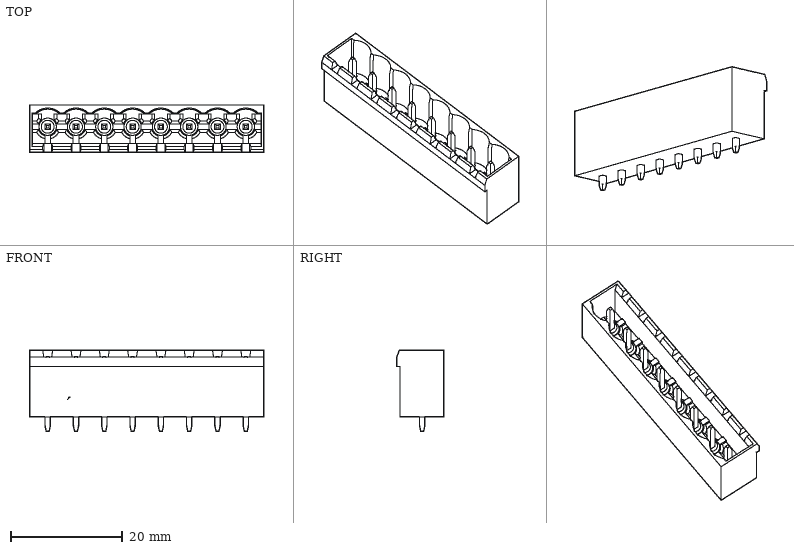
import cadquery as cq
pin_count = 8
pitch = 5.08
length = 42.04
height = 12.0
pin_row_to_back = 3.9
body_depth = 7.9
lip_overhang = 0.6
lip_height = 3.0
lip_chamfer_depth = 0.5
mouth_height = 1.3
mouth_draft = 0.2

end_wall = 0.42
back_wall = 1.43
front_wall = 1.05
end_draft = 0.12
front_draft = 0.54
floor_z = 3.0
rib_height = 0.5
scallop_radius = 3.0
scallop_to_back = 0.75

ridge_width = 1.0
back_rib_width = 2.28
collar_radius = 1.7
boss_radius = 1.55
boss_height = 0.5
boss_chamfer = 0.4

notch_floor_width = 1.4
notch_top_width = 1.8
pin_size = 1.0
pin_tip_below_rim = 1.2
contact_taper_height = 1.0
contact_tip_size = 0.5
tail_length = 2.6
tail_taper_height = 1.0
tail_tip_size = 0.55
tail_edge_round = 0.15

pin_top_z = height - pin_tip_below_rim
back_y = pin_row_to_back
body_front_y = back_y - body_depth
lip_front_y = body_front_y - lip_overhang
mouth_z = height - mouth_height
rib_top_z = floor_z + rib_height
inner_back_y = back_y - back_wall - mouth_draft
inner_front_y = lip_front_y + front_wall + front_draft
inner_length = length - 2 * (end_wall + end_draft)
pin_xs = [(i - (pin_count - 1) / 2) * pitch for i in range(pin_count)]


def box(x_min, x_max, y_min, y_max, z_min, z_max):
    corner = cq.Vector(x_min, y_min, z_min)
    return cq.Workplane(cq.Solid.makeBox(x_max - x_min, y_max - y_min, z_max - z_min, corner))


def cylinder(x, y, z, radius, cylinder_height):
    return cq.Workplane(cq.Solid.makeCylinder(radius, cylinder_height, cq.Vector(x, y, z)))


def cone(x, y, z, bottom_radius, top_radius, cone_height):
    return cq.Workplane(cq.Solid.makeCone(bottom_radius, top_radius, cone_height, cq.Vector(x, y, z)))


def rectangle_loft(lower, upper, z_min, z_max):
    """Solid between two rectangles, each given as (x_min, x_max, y_min, y_max)."""
    wires = []
    for (x_min, x_max, y_min, y_max), z in ((lower, z_min), (upper, z_max)):
        corners = [(x_min, y_min, z), (x_max, y_min, z), (x_max, y_max, z), (x_min, y_max, z)]
        wires.append(cq.Wire.makePolygon([cq.Vector(*corner) for corner in corners], close=True))
    return cq.Workplane(cq.Solid.makeLoft(wires, True))


def make_housing():
    profile = [
        (back_y, 0),
        (back_y, height),
        (lip_front_y + lip_chamfer_depth, height),
        (lip_front_y, mouth_z),
        (lip_front_y, height - lip_height),
        (body_front_y, height - lip_height),
        (body_front_y, 0),
    ]
    return cq.Workplane("YZ").polyline(profile).close().extrude(length / 2, both=True)


def make_cavity():
    half = inner_length / 2
    lower = (-half, half, inner_front_y, inner_back_y)
    rim_half = half + end_draft
    rim = (-rim_half, rim_half, inner_front_y - front_draft, inner_back_y + mouth_draft)
    well = box(*lower, floor_z, mouth_z)
    return well.union(rectangle_loft(lower, rim, mouth_z, height))


def make_scallop(x):
    """Round recess in the back wall, widening through the lead-in."""
    center_y = back_y - scallop_to_back - scallop_radius
    shaft = cylinder(x, center_y, rib_top_z, scallop_radius, mouth_z - rib_top_z)
    flare = cone(x, center_y, mouth_z, scallop_radius, scallop_radius + mouth_draft, mouth_height)
    behind_wall = box(x - pitch / 2, x + pitch / 2, inner_back_y, back_y, 0, height)
    return shaft.union(flare).intersect(behind_wall)


def make_notch(x):
    """Slot through the lip in front of a pin, with drafted sides."""
    floor_half = notch_floor_width / 2
    top_half = notch_top_width / 2
    lower = (x - floor_half, x + floor_half, lip_front_y, inner_front_y)
    upper = (x - top_half, x + top_half, lip_front_y, inner_front_y)
    return rectangle_loft(lower, upper, mouth_z, height)


def make_ridge():
    """Ridge along the pin row from end wall to end wall."""
    half = inner_length / 2
    top = ridge_width / 2
    foot = top + rib_height
    return rectangle_loft((-half, half, -foot, foot), (-half, half, -top, top), floor_z, rib_top_z)


def make_pin_seat(x):
    """Collar, ribs and chamfered boss that surround one pin on the floor."""
    collar = cone(x, 0, floor_z, collar_radius + rib_height, collar_radius, rib_height)
    top = back_rib_width / 2
    foot = top + rib_height
    back_rib = rectangle_loft(
        (x - foot, x + foot, 0, inner_back_y), (x - top, x + top, 0, inner_back_y), floor_z, rib_top_z
    )
    half = ridge_width / 2
    front_rib = box(x - half, x + half, inner_front_y, 0, floor_z, rib_top_z)
    boss = cylinder(x, 0, floor_z, boss_radius, rib_height + boss_height)
    boss = boss.faces(">Z").edges().chamfer(boss_chamfer)
    return collar.union(back_rib).union(front_rib).union(boss)


def make_pin(x):
    half = pin_size / 2
    full = (x - half, x + half, -half, half)
    shoulder_z = pin_top_z - contact_taper_height
    contact = box(*full, 0, shoulder_z)
    half_tip = contact_tip_size / 2
    tip = (x - half_tip, x + half_tip, -half_tip, half_tip)
    contact = contact.union(rectangle_loft(full, tip, shoulder_z, pin_top_z))

    tail_shoulder_z = tail_taper_height - tail_length
    half_tail_tip = tail_tip_size / 2
    tail_tip = (x - half_tail_tip, x + half_tail_tip, -half_tail_tip, half_tail_tip)
    tail = box(*full, tail_shoulder_z, 0)
    tail = tail.union(rectangle_loft(tail_tip, full, -tail_length, tail_shoulder_z))
    rounded_bar = box(*full, -tail_length, 0).edges("|Z").fillet(tail_edge_round)
    return contact.union(tail.intersect(rounded_bar))


result = make_housing().cut(make_cavity())
for pin_x in pin_xs:
    result = result.cut(make_scallop(pin_x)).cut(make_notch(pin_x))
result = result.union(make_ridge())
for pin_x in pin_xs:
    result = result.union(make_pin_seat(pin_x)).union(make_pin(pin_x))